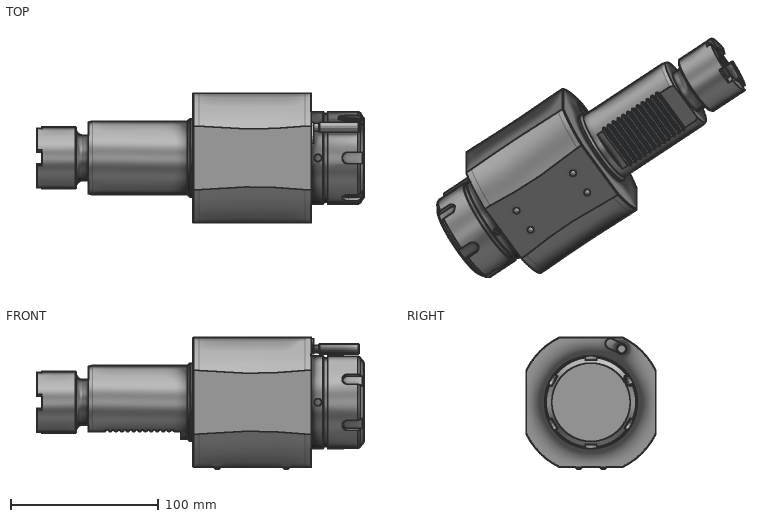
import cadquery as cq
import math


HOUSING_LENGTH = 80.4
HOUSING_WIDTH = 88.0
CORNER_RADIUS = 49.0
CORNER_WAIST_RADIUS = 48.2
CORNER_BAND = 4.2
HOUSING_CHAMFER = 0.6

SHANK_RADIUS = 25.0
SHANK_LENGTH = 70.8
SHANK_CHAMFER_LENGTH = 2.6
SHANK_CHAMFER_DEPTH = 0.7
RING_RADIUS = 26.6
RING_LENGTH = 1.6
RING_CONE_LENGTH = 2.0
RACK_DEPTH = 20.0
RACK_END = 8.1
TOOTH_COUNT = 12
TOOTH_PITCH = 4.0
TOOTH_DEPTH = 1.2
TOOTH_OPENING = 3.4
TOOTH_ROOT = 0.9
FIRST_TOOTH = 14.0

COUPLING_RADIUS = 21.0
COUPLING_LENGTH = 26.8
COUPLING_CHAMFER = 0.8
COUPLING_END = 105.7
NECK_RADIUS = 15.5
NECK_FLARE_RADIUS = 18.2
NECK_FLARE_LENGTH = 4.2
RECESS_RADIUS = 13.8
RECESS_DEPTH = 5.0
DOG_SLOT_COUNT = 4
DOG_SLOT_DEPTH = 3.3
DOG_SLOT_INNER_WIDTH = 8.2
DOG_SLOT_SIDE_ANGLE = 12.0

COLLAR_RADIUS = 31.5
COLLAR_END = 89.0
COLLAR_CHAMFER = 0.6
GROOVE_RADIUS = 30.3
NUT_RADIUS = 31.5
NUT_START = 91.6
NUT_SHOULDER = 112.2
NUT_BEVEL_START = 113.9
NUT_BEVEL_RADIUS = 30.5
NUT_END = 116.4
NUT_FACE_RADIUS = 26.6
COLLAR_HOLE_X = 85.1
COLLAR_HOLE_COUNT = 4
COLLAR_HOLE_DIAMETER = 5.0
COLLAR_HOLE_DEPTH = 2.0
NUT_SLOT_COUNT = 6
NUT_SLOT_WIDTH = 8.0
NUT_SLOT_START = 101.6
NUT_SLOT_FLOOR = 28.5
LONG_SLOT_START = 98.9
LONG_SLOT_WIDTH = 6.0
LONG_SLOT_FLOOR = 27.5
LONG_SLOT_ANGLE = -60.0

PIPE_Y = 20.8
PIPE_Z = 36.2
PIPE_RADIUS = 3.5
PIPE_START = 85.8
PIPE_END = 113.0
PIPE_CHAMFER = 0.6
PIPE_NECK_RADIUS = 2.6
BRACKET_RADIUS = 3.4
BRACKET_THICKNESS = 2.0
BRACKET_END_Y = 13.2
BRACKET_END_Z = 39.8
FACE_RECESS_Y = 18.4
FACE_RECESS_Z = 32.5
FACE_RECESS_RADIUS = 8.5
FACE_RECESS_DEPTH = 1.0

BALL_RADIUS = 2.3
BALL_PROJECTION = 1.6
BALL_X = (16.7, 63.5)
BALL_Y = (-8.4, 8.4)

OVERLAP = 1.0


def turned(profile):
    """Revolve a closed XY profile about the X axis."""
    return profile.close().revolve(360, (0, 0, 0), (1, 0, 0))


def rod(x_start, x_end, radius, y=0.0, z=0.0):
    """Cylinder along X."""
    return cq.Workplane("YZ", origin=(x_start, 0, 0)).center(y, z).circle(radius).extrude(x_end - x_start)


def around_axis(cutter, count):
    """Copies of a cutter at equal angles about the X axis."""
    step = 360.0 / count
    copies = cq.Workplane("XY")
    for i in range(count):
        copies = copies.add(cutter.rotate((0, 0, 0), (1, 0, 0), i * step).val())
    return copies.combine()


def make_housing():
    block = cq.Workplane("XY").box(HOUSING_LENGTH, HOUSING_WIDTH, HOUSING_WIDTH, centered=(False, True, True))
    barrel = turned(
        cq.Workplane("XY")
        .moveTo(0, 0)
        .lineTo(0, CORNER_RADIUS)
        .lineTo(CORNER_BAND, CORNER_RADIUS)
        .threePointArc(
            (HOUSING_LENGTH / 2, CORNER_WAIST_RADIUS),
            (HOUSING_LENGTH - CORNER_BAND, CORNER_RADIUS),
        )
        .lineTo(HOUSING_LENGTH, CORNER_RADIUS)
        .lineTo(HOUSING_LENGTH, 0)
    )
    return block.intersect(barrel).faces("<X").chamfer(HOUSING_CHAMFER)


def make_shank():
    shank = turned(
        cq.Workplane("XY")
        .moveTo(OVERLAP, 0)
        .lineTo(OVERLAP, RING_RADIUS)
        .lineTo(-RING_LENGTH, RING_RADIUS)
        .lineTo(-RING_LENGTH - RING_CONE_LENGTH, SHANK_RADIUS)
        .lineTo(SHANK_CHAMFER_LENGTH - SHANK_LENGTH, SHANK_RADIUS)
        .lineTo(-SHANK_LENGTH, SHANK_RADIUS - SHANK_CHAMFER_DEPTH)
        .lineTo(-SHANK_LENGTH, 0)
    )
    return shank.cut(make_rack_cutter())


def make_rack_cutter():
    """Flat below the shank plus trapezoidal tooth gaps across it."""
    span = 2 * SHANK_RADIUS
    profile = (
        cq.Workplane("XZ", origin=(0, SHANK_RADIUS, 0))
        .moveTo(-RACK_END, -span)
        .lineTo(-RACK_END, -RACK_DEPTH)
    )
    for i in range(TOOTH_COUNT):
        x = -FIRST_TOOTH - i * TOOTH_PITCH
        profile = (
            profile.lineTo(x + TOOTH_OPENING / 2, -RACK_DEPTH)
            .lineTo(x + TOOTH_ROOT / 2, -RACK_DEPTH + TOOTH_DEPTH)
            .lineTo(x - TOOTH_ROOT / 2, -RACK_DEPTH + TOOTH_DEPTH)
            .lineTo(x - TOOTH_OPENING / 2, -RACK_DEPTH)
        )
    end = -SHANK_LENGTH - OVERLAP
    return profile.lineTo(end, -RACK_DEPTH).lineTo(end, -span).close().extrude(span)


def make_coupling():
    back = COUPLING_LENGTH - COUPLING_END
    flare_end = back + NECK_FLARE_LENGTH
    flare_rise = NECK_FLARE_RADIUS - NECK_RADIUS
    flare_radius = (NECK_FLARE_LENGTH ** 2 + flare_rise ** 2) / (2 * flare_rise)
    half_angle = math.asin(NECK_FLARE_LENGTH / flare_radius) / 2
    flare_middle = (
        flare_end - flare_radius * math.sin(half_angle),
        NECK_RADIUS + flare_radius * (1 - math.cos(half_angle)),
    )
    coupling = turned(
        cq.Workplane("XY")
        .moveTo(-COUPLING_END, 0)
        .lineTo(-COUPLING_END, COUPLING_RADIUS)
        .lineTo(back - COUPLING_CHAMFER, COUPLING_RADIUS)
        .lineTo(back, COUPLING_RADIUS - COUPLING_CHAMFER)
        .lineTo(back, NECK_FLARE_RADIUS)
        .threePointArc(flare_middle, (flare_end, NECK_RADIUS))
        .lineTo(OVERLAP - SHANK_LENGTH, NECK_RADIUS)
        .lineTo(OVERLAP - SHANK_LENGTH, 0)
    )
    recess = rod(-COUPLING_END, RECESS_DEPTH - COUPLING_END, RECESS_RADIUS)
    return coupling.cut(recess).cut(around_axis(make_dog_slot(), DOG_SLOT_COUNT))


def make_dog_slot():
    """Slot in the coupling face that widens outward."""
    inner = RECESS_RADIUS - OVERLAP
    outer = COUPLING_RADIUS + OVERLAP
    widening = math.tan(math.radians(DOG_SLOT_SIDE_ANGLE))
    inner_half = DOG_SLOT_INNER_WIDTH / 2 - OVERLAP * widening
    outer_half = inner_half + (outer - inner) * widening
    return (
        cq.Workplane("YZ", origin=(-COUPLING_END, 0, 0))
        .polyline([(-inner_half, inner), (inner_half, inner), (outer_half, outer), (-outer_half, outer)])
        .close()
        .extrude(DOG_SLOT_DEPTH)
    )


def make_spindle_nose():
    """Collar, groove and collet nut."""
    nose = turned(
        cq.Workplane("XY")
        .moveTo(HOUSING_LENGTH - OVERLAP, 0)
        .lineTo(HOUSING_LENGTH - OVERLAP, COLLAR_RADIUS)
        .lineTo(COLLAR_END - COLLAR_CHAMFER, COLLAR_RADIUS)
        .lineTo(COLLAR_END, COLLAR_RADIUS - COLLAR_CHAMFER)
        .lineTo(COLLAR_END, GROOVE_RADIUS)
        .lineTo(NUT_START, GROOVE_RADIUS)
        .lineTo(NUT_START, NUT_RADIUS)
        .lineTo(NUT_SHOULDER, NUT_RADIUS)
        .lineTo(NUT_BEVEL_START, NUT_BEVEL_RADIUS)
        .lineTo(NUT_END, NUT_FACE_RADIUS)
        .lineTo(NUT_END, 0)
    )
    hole = (
        cq.Workplane("XY", origin=(COLLAR_HOLE_X, 0, COLLAR_RADIUS - COLLAR_HOLE_DEPTH))
        .circle(COLLAR_HOLE_DIAMETER / 2)
        .extrude(COLLAR_HOLE_DEPTH + OVERLAP)
    )
    nose = nose.cut(around_axis(hole, COLLAR_HOLE_COUNT))
    wrench_slot = make_nut_slot(NUT_SLOT_START, NUT_SLOT_WIDTH, NUT_SLOT_FLOOR)
    long_slot = make_nut_slot(LONG_SLOT_START, LONG_SLOT_WIDTH, LONG_SLOT_FLOOR)
    nose = nose.cut(around_axis(wrench_slot, NUT_SLOT_COUNT))
    return nose.cut(long_slot.rotate((0, 0, 0), (1, 0, 0), LONG_SLOT_ANGLE))


def make_nut_slot(slot_start, width, floor):
    """Flat-floored wrench slot with a round end, open toward the nut face."""
    half_width = width / 2
    arc_start = slot_start + half_width
    return (
        cq.Workplane("XY", origin=(0, 0, floor))
        .moveTo(NUT_END, half_width)
        .lineTo(arc_start, half_width)
        .threePointArc((slot_start, 0), (arc_start, -half_width))
        .lineTo(NUT_END, -half_width)
        .close()
        .extrude(NUT_RADIUS)
    )


def make_coolant_pipe():
    inside = HOUSING_LENGTH - OVERLAP
    bracket_end = HOUSING_LENGTH + BRACKET_THICKNESS
    run_y = PIPE_Y - BRACKET_END_Y
    run_z = PIPE_Z - BRACKET_END_Z
    bracket = (
        cq.Workplane("YZ", origin=(inside, 0, 0))
        .center((PIPE_Y + BRACKET_END_Y) / 2, (PIPE_Z + BRACKET_END_Z) / 2)
        .slot2D(
            math.hypot(run_y, run_z) + 2 * BRACKET_RADIUS,
            2 * BRACKET_RADIUS,
            math.degrees(math.atan2(run_z, run_y)),
        )
        .extrude(bracket_end - inside)
    )
    neck = rod(inside, PIPE_START + OVERLAP, PIPE_NECK_RADIUS, PIPE_Y, PIPE_Z)
    pipe = rod(PIPE_START, PIPE_END, PIPE_RADIUS, PIPE_Y, PIPE_Z).faces("<X or >X").chamfer(PIPE_CHAMFER)
    return bracket.union(neck).union(pipe)


def make_ball_plugs():
    centre_z = -HOUSING_WIDTH / 2 - BALL_PROJECTION + BALL_RADIUS
    centres = [(x, y, centre_z) for x in BALL_X for y in BALL_Y]
    return cq.Workplane("XY").pushPoints(centres).sphere(BALL_RADIUS)


face_recess = rod(0, FACE_RECESS_DEPTH, FACE_RECESS_RADIUS, FACE_RECESS_Y, FACE_RECESS_Z)

result = (
    make_housing()
    .cut(face_recess)
    .union(make_shank())
    .union(make_coupling())
    .union(make_spindle_nose())
    .union(make_coolant_pipe())
    .union(make_ball_plugs())
)